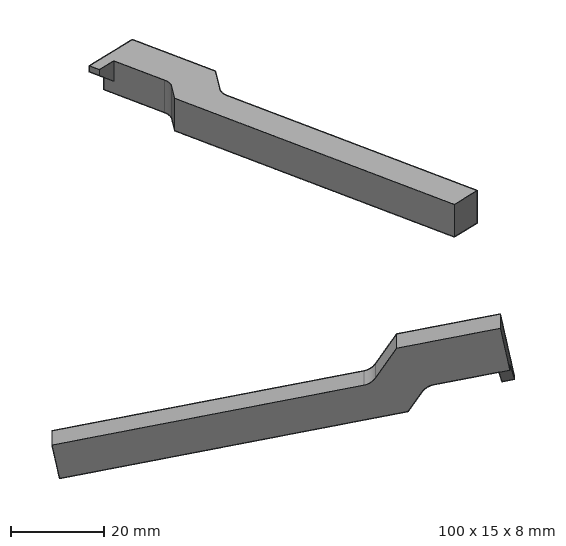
import cadquery as cq

length = 100
width = 15
thickness = 8

shank_width = 8
head_front = 5
head_back_end = 22.8
shank_front_start = 23.4
bend_radius = 4

hook_width = 2.8
hook_tip_height = 6.5
hook_root_height = 3

inner_bend_x = shank_front_start - head_front
outer_bend_x = head_back_end + width - shank_width


def make_bar():
    """Extrude the plan outline and round its two concave bends."""
    outline = [
        (0, 0),
        (hook_width, 0),
        (hook_width, head_front),
        (inner_bend_x, head_front),
        (shank_front_start, 0),
        (length, 0),
        (length, shank_width),
        (outer_bend_x, shank_width),
        (head_back_end, width),
        (0, width),
    ]
    bar = cq.Workplane("XY").polyline(outline).close().extrude(thickness)
    for bend in [(inner_bend_x, head_front), (outer_bend_x, shank_width)]:
        edge = cq.selectors.NearestToPointSelector((*bend, thickness / 2))
        bar = bar.edges("|Z").edges(edge).fillet(bend_radius)
    return bar


def make_hook_relief():
    """Wedge removed from below the hook, leaving a sloping underside."""
    return (
        cq.Workplane("YZ")
        .polyline([(0, 0), (head_front, 0), (head_front, hook_root_height), (0, hook_tip_height)])
        .close()
        .extrude(hook_width)
    )


result = make_bar().cut(make_hook_relief())